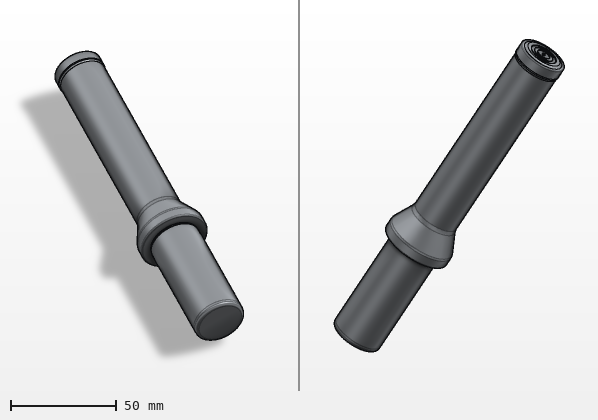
import cadquery as cq
import math

total_length = 174.0
cap_end = 5.5

cap_diameter = 23.7
cap_rim_x = 0.7
cap_edge_fillet = 0.3
boss_base_diameter = 20.5
boss_face_diameter = 17.5
ring_groove_diameters = [(13.2, 10.1), (6.6, 1.5)]
ring_groove_depth = 0.3
outer_groove_chamfer = 0.26

shaft_diameter = 23.0
collar_end = 7.3
collar_taper_start = 6.3
flange_diameter = 34.0
flange_start = 113.0
flange_end = 118.3
cone_angle = math.radians(24.5)
cone_base_fillet = 5.2
cone_rim_fillet = 2.6
flange_back_fillet = 0.7

relief_diameter = 24.5
shank_start = 119.0
shank_diameter = 25.0
shank_front_chamfer = 0.5
tip_taper_start = 171.4
tip_diameter = 24.7
tip_fillet = 1.5


def revolve_about_x(profile):
    """Revolve a closed XY profile, with Y as radius, about the X axis."""
    return profile.close().revolve(360, (0, 0, 0), (1, 0, 0))


def edges_at(x, radius):
    """Select the circular edge at a given axial position and radius."""
    margin = 0.02
    reach = radius + margin
    return cq.selectors.BoxSelector(
        (x - margin, -reach, -reach), (x + margin, reach, reach), boundingbox=True
    )


def ring_groove(outer_diameter, inner_diameter):
    """Cutter for one concentric groove in the front face of the cap."""
    return (
        cq.Workplane("YZ")
        .circle(outer_diameter / 2)
        .circle(inner_diameter / 2)
        .extrude(ring_groove_depth)
    )


def make_cap():
    """Disc with a low conical boss and concentric grooves on its front face."""
    profile = (
        cq.Workplane("XY")
        .lineTo(0, boss_face_diameter / 2)
        .lineTo(cap_rim_x, boss_base_diameter / 2)
        .lineTo(cap_rim_x, cap_diameter / 2 - cap_edge_fillet)
        .radiusArc((cap_rim_x + cap_edge_fillet, cap_diameter / 2), cap_edge_fillet)
        .lineTo(cap_end, cap_diameter / 2)
        .lineTo(cap_end, 0)
    )
    cap = revolve_about_x(profile)
    for outer_diameter, inner_diameter in ring_groove_diameters:
        cap = cap.cut(ring_groove(outer_diameter, inner_diameter))
    outer_mouth = edges_at(0, ring_groove_diameters[0][0] / 2)
    return cap.edges(outer_mouth).edges(cq.selectors.RadiusNthSelector(-1)).chamfer(outer_groove_chamfer)


def make_shaft():
    """Shaft with a front collar, a conical flange and a rear shank."""
    flange_radius = flange_diameter / 2
    shaft_radius = shaft_diameter / 2
    cone_start = flange_start - (flange_radius - shaft_radius) / math.tan(cone_angle)
    profile = (
        cq.Workplane("XY")
        .moveTo(cap_end, 0)
        .lineTo(cap_end, cap_diameter / 2)
        .lineTo(collar_taper_start, cap_diameter / 2)
        .lineTo(collar_end, shaft_radius)
        .lineTo(cone_start, shaft_radius)
        .lineTo(flange_start, flange_radius)
        .lineTo(flange_end, flange_radius)
        .lineTo(flange_end, relief_diameter / 2)
        .lineTo(shank_start, relief_diameter / 2)
        .lineTo(shank_start + shank_front_chamfer, shank_diameter / 2)
        .lineTo(tip_taper_start, shank_diameter / 2)
        .lineTo(total_length, tip_diameter / 2)
        .lineTo(total_length, 0)
    )
    shaft = revolve_about_x(profile)
    shaft = shaft.edges(edges_at(cone_start, shaft_radius)).fillet(cone_base_fillet)
    shaft = shaft.edges(edges_at(flange_start, flange_radius)).fillet(cone_rim_fillet)
    flange_back = shaft.edges(edges_at(flange_end, flange_radius)).edges(cq.selectors.RadiusNthSelector(-1))
    shaft = flange_back.fillet(flange_back_fillet)
    return shaft.faces(">X").edges().fillet(tip_fillet)


cap = make_cap()
shaft = make_shaft()

result = cq.Compound.makeCompound([*cap.solids().vals(), *shaft.solids().vals()])